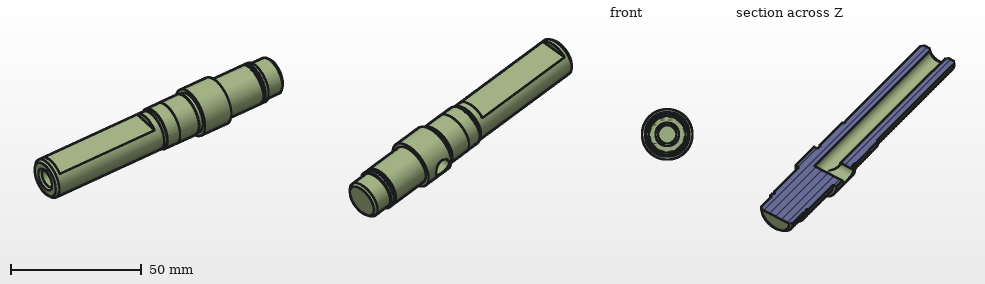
import cadquery as cq

length = 107.0

drive_d = 16.0
relief_d = 15.8
rear_seat_d = 17.0
front_seat_d = 17.1
undercut_d = 16.4
collar_d = 19.4
journal_d = 16.4
groove_d = 15.2
nose_d = 15.0

drive_len = 50.2
relief_len = 1.3
rear_seat_len = 5.8
front_seat_len = 9.0
undercut_len = 1.9
collar_len = 12.3
journal_len = 16.1
groove_len = 1.1
rim_len = 1.4

end_chamfer = 1.0

flat_height = 5.5
flat_start = 2.75
flat_len = 44.5

bore_d = 7.0
bore_chamfer = 1.0
radial_hole_d = 7.0
radial_hole_y = 72.9
bore_depth = radial_hole_y + radial_hole_d / 2


def turned_body():
    """Stack the cylindrical steps; the nose takes up the remaining length."""
    steps = [
        (drive_d, drive_len),
        (relief_d, relief_len),
        (rear_seat_d, rear_seat_len),
        (front_seat_d, front_seat_len),
        (undercut_d, undercut_len),
        (collar_d, collar_len),
        (journal_d, journal_len),
        (groove_d, groove_len),
        (journal_d, rim_len),
    ]
    nose_len = length - sum(step_len for _, step_len in steps)
    steps.append((nose_d, nose_len))

    profile = cq.Workplane("XY").moveTo(0, 0)
    y = 0
    for diameter, step_len in steps:
        profile = profile.lineTo(diameter / 2, y)
        y += step_len
        profile = profile.lineTo(diameter / 2, y)
    body = profile.lineTo(0, length).close().revolve(360, (0, 0, 0), (0, 1, 0))
    return body.faces("<Y or >Y").edges().chamfer(end_chamfer)


def flat_cutter():
    """Block that removes everything above the flat."""
    return (
        cq.Workplane("XY", origin=(0, flat_start, flat_height))
        .box(drive_d, flat_len, drive_d / 2, centered=(True, False, False))
    )


def bore_cutter():
    """Flat-bottomed axial bore with a chamfered mouth."""
    bore_r = bore_d / 2
    return (
        cq.Workplane("XY")
        .polyline([
            (0, 0),
            (bore_r + bore_chamfer, 0),
            (bore_r, bore_chamfer),
            (bore_r, bore_depth),
            (0, bore_depth),
        ])
        .close()
        .revolve(360, (0, 0, 0), (0, 1, 0))
    )


def radial_hole_cutter():
    """Hole from the -X side of the collar to the shaft axis."""
    return (
        cq.Workplane("YZ", origin=(-collar_d, radial_hole_y, 0))
        .circle(radial_hole_d / 2)
        .extrude(collar_d)
    )


result = turned_body().cut(flat_cutter()).cut(bore_cutter()).cut(radial_hole_cutter())